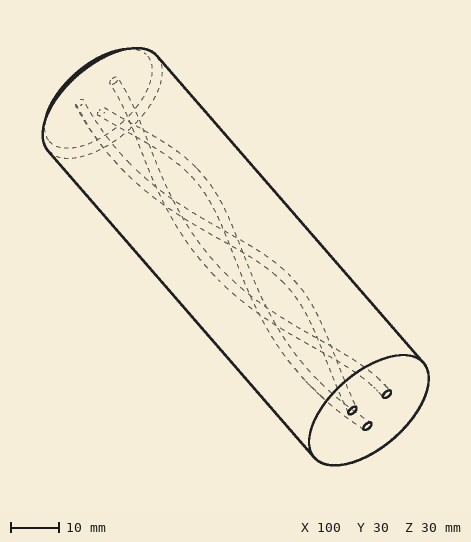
import cadquery as cq
import math

rod_length = 100.0
rod_diameter = 30.0
chamfer_size = 1.5

channel_count = 3
channel_diameter = 2.0
channel_circle_radius = 5.0
channel_pitch = 104.0
first_channel_angle = 39.5
overrun = 3.0


def make_rod():
    """Cylinder from the chamfered face at X = 0 to the plain face."""
    rod = cq.Workplane("YZ").circle(rod_diameter / 2).extrude(rod_length)
    return rod.faces("<X").chamfer(chamfer_size)


def make_channel():
    """Right-handed helical channel along X, its round section square to the helix."""
    channel_length = rod_length + 2 * overrun
    path = cq.Workplane(cq.Wire.makeHelix(channel_pitch, channel_length, channel_circle_radius))
    start_plane = cq.Plane(
        origin=(channel_circle_radius, 0, 0),
        xDir=(1, 0, 0),
        normal=(0, 2 * math.pi * channel_circle_radius, channel_pitch),
    )
    section = cq.Workplane(start_plane).circle(channel_diameter / 2)
    channel = section.sweep(path, isFrenet=True)
    channel = channel.rotate((0, 0, 0), (1, 1, 1), 120)
    channel = channel.translate((-overrun, 0, 0))
    overrun_angle = 360 * overrun / channel_pitch
    return channel.rotate((0, 0, 0), (1, 0, 0), first_channel_angle - overrun_angle)


result = make_rod()
first_channel = make_channel()
for index in range(channel_count):
    turn = 360 / channel_count * index
    result = result.cut(first_channel.rotate((0, 0, 0), (1, 0, 0), turn))